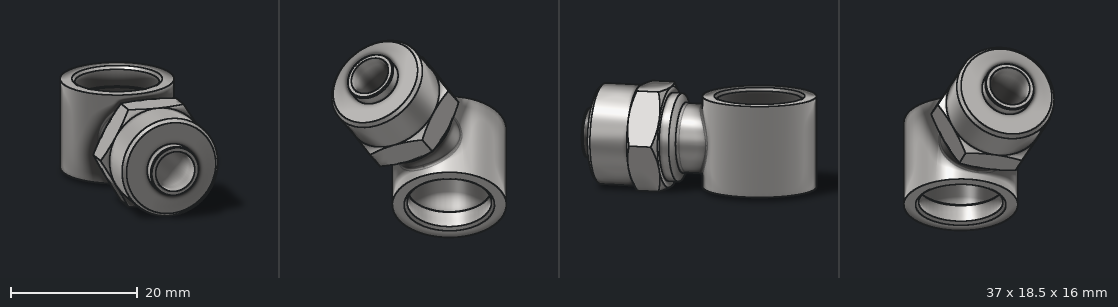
import cadquery as cq
import math

ring_diameter = 18.0
ring_height = 14.58
ring_radius = ring_diameter / 2
lip_diameter = 13.3
lip_depth = 3.22
chamber_diameter = 14.0
mouth_chamfer = 0.48

neck_diameter = 11.0
neck_end = 11.7
neck_fillet = 0.45
cone_start = 12.17
cone_start_diameter = 11.2
collar_diameter = 14.0
collar_start = 12.9
nut_start = 14.45
stub_diameter = 8.0
overall_length = 37
stub_end = overall_length - ring_radius
stub_chamfer = 0.3
stub_chamfer_depth = 0.1
passage_diameter = 6.5

nut_flats = 16.0
hex_sides = 6
hex_length = 5.05
nut_end = 26.05
nut_barrel_diameter = 16.0
nut_edge_chamfer = 0.55
hex_corner_trim = 0.75


def rod(diameter, start, end):
    """Cylinder along +X between two distances from the ring axis."""
    return cq.Workplane("YZ", origin=(start, 0, 0)).circle(diameter / 2).extrude(end - start)


def turned(points):
    """Solid of revolution about X from (x, radius) points."""
    return cq.Workplane("XY").polyline(points).close().revolve(360, (0, 0, 0), (1, 0, 0))


def make_fitting():
    ring = cq.Workplane("XY").circle(ring_radius).extrude(ring_height / 2, both=True)
    neck = rod(neck_diameter, 0, cone_start)
    body = ring.union(neck)
    body = body.edges("not %LINE").edges("not %CIRCLE").fillet(neck_fillet)
    collar = turned([
        (neck_end, 0),
        (neck_end, neck_diameter / 2),
        (cone_start, cone_start_diameter / 2),
        (collar_start, collar_diameter / 2),
        (nut_start, collar_diameter / 2),
        (nut_start, stub_diameter / 2),
        (stub_end - stub_chamfer, stub_diameter / 2),
        (stub_end, stub_diameter / 2 - stub_chamfer_depth),
        (stub_end, 0),
    ])
    body = body.union(collar)
    half = ring_height / 2
    lip_radius = lip_diameter / 2
    mouth_radius = lip_radius + mouth_chamfer
    chamber_radius = chamber_diameter / 2
    lip_end = half - lip_depth
    chamber_half = lip_end - (chamber_radius - lip_radius)
    bore = (
        cq.Workplane("XZ")
        .polyline([
            (0, -half), (mouth_radius, -half), (lip_radius, mouth_chamfer - half),
            (lip_radius, -lip_end), (chamber_radius, -chamber_half),
            (chamber_radius, chamber_half), (lip_radius, lip_end),
            (lip_radius, half - mouth_chamfer), (mouth_radius, half), (0, half),
        ])
        .close()
        .revolve(360, (0, 0, 0), (0, 1, 0))
    )
    body = body.cut(bore)
    return body.cut(rod(passage_diameter, 0, stub_end))


def make_nut():
    corner_diameter = nut_flats / math.cos(math.pi / hex_sides)
    hex_end = nut_start + hex_length
    hexagon = (
        cq.Workplane("YZ", origin=(nut_start, 0, 0))
        .polygon(hex_sides, corner_diameter)
        .extrude(hex_length)
    )
    corner_radius = corner_diameter / 2
    end_radius = nut_flats / 2
    hexagon = hexagon.intersect(turned([
        (nut_start, 0), (nut_start, end_radius),
        (nut_start + hex_corner_trim, corner_radius),
        (hex_end - hex_corner_trim, corner_radius),
        (hex_end, end_radius), (hex_end, 0),
    ]))
    barrel = rod(nut_barrel_diameter, hex_end, nut_end).faces(">X").chamfer(nut_edge_chamfer)
    return hexagon.union(barrel).cut(rod(stub_diameter, nut_start, nut_end))


fitting = make_fitting()
nut = make_nut()
result = cq.Compound.makeCompound([fitting.val(), nut.val()])